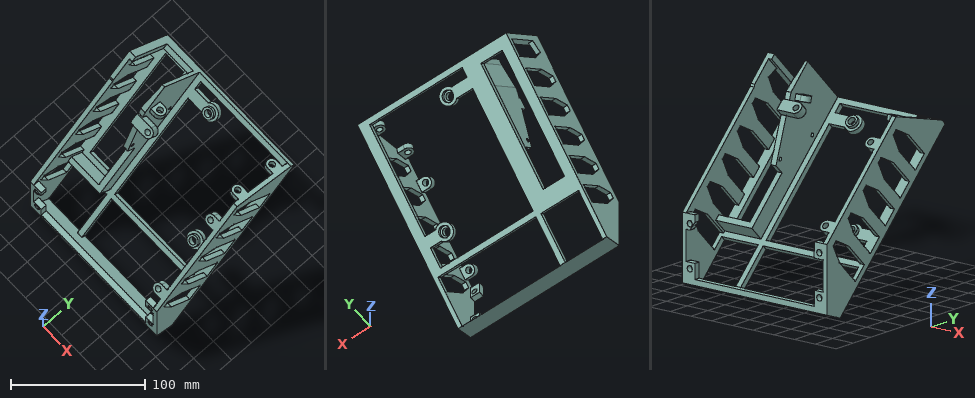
import cadquery as cq
import math


overall_width = 139.9
overall_height = 162.6
tilt = 45.0
bar = 5.0
plate = 4.0
wall_height = 55.0
plate_height = 54.0
length = overall_height / math.sin(math.radians(tilt)) - wall_height
right_inner = overall_width - plate

front_y = -15.6
front_back_y = front_y + bar
bevel_angle = 20.0
bevel_top = -front_y * math.tan(math.radians(bevel_angle))
plate_top_z = plate_height / math.cos(math.radians(tilt)) + front_y * math.tan(math.radians(tilt))
tab_hole_inset = 7.5
tab_hole_diameter = 4.9
tab_hole_z = 18.0
tab_pitch = 35.0
tab_width = 12.4
tab_margin = 5.0
notch_width = 4.7
notch_height = 6.8

window_count = 6
window_width = 15.0
window_start = 30.1
window_taper = 5.0
window_shoulder = 31.4
window_peak = 46.5
end_window_corner = 41.3
end_window_peak = 44.7
window_pitch = (length - bar - window_width - window_start) / (window_count - 1)

end_slope = 60.0
slope_top_y = length - (plate_height - bar) / math.tan(math.radians(end_slope))

wall_outer = 39.0
wall_inner = wall_outer - bar
wall_start = 47.0
low_wall_height = 20.0
wall_step_y = 97.0
wall_step_height = 30.0
wall_slope = 0.5
full_height_y = wall_step_y + (wall_height - wall_step_height) / wall_slope
plate_step_y = full_height_y - (wall_height - plate_height) / wall_slope
end_opening_left = 7.0
end_opening_right = 36.0
end_sill = 10.1
ramp_start = 149.6
wall_hole_diameter = 2.8
wall_holes = [(137.5, 10.0), (103.5, 29.1)]

lug_width = 10.0
lug_hole_diameter = 4.9
lug_reach = 6.0
edge_lug_thickness = 7.0
edge_lugs_y = [46.8, 121.8]
arm_y = 136.0
arm_hole_x = 49.6
end_lug_thickness = 5.0
end_lug_low = 10.1
end_lug_high = 46.2
wall_lug_reach = 5.0

boss_base_diameter = 15.0
boss_top_diameter = 10.0
boss_height = 8.0
boss_hole_diameter = 6.0
boss_recess_diameter = 9.5
boss_recess_depth = 3.0
bosses = [(64.4, 156.8, wall_outer), (115.0, 69.3, right_inner)]


def block(x_range, y_range, z_range):
    """A box spanning the given ranges."""
    starts = (x_range[0], y_range[0], z_range[0])
    sizes = (x_range[1] - x_range[0], y_range[1] - y_range[0], z_range[1] - z_range[0])
    return cq.Workplane().box(*sizes, centered=False).translate(starts)


def panel(points, x_start, thickness):
    """A Y-Z outline given thickness along X."""
    return cq.Workplane("YZ", origin=(x_start, 0, 0)).polyline(points).close().extrude(thickness)


def disc(x, y, diameter, bottom, top):
    """An upright cylinder."""
    return cq.Workplane(origin=(x, y, bottom)).circle(diameter / 2).extrude(top - bottom)


def flat_point(y, z):
    """Coordinates in the lying frame of a Y-Z point of the tilted frame."""
    cosine = math.cos(math.radians(tilt))
    sine = math.sin(math.radians(tilt))
    return (y * cosine + z * sine, z * cosine - y * sine)


def window(index):
    """Outline of one pointed side window; the one at the high end has a wider, skewed top."""
    near = window_start + index * window_pitch
    far = near + window_width
    if index == window_count - 1:
        top = [(far, end_window_corner), (near + window_taper, end_window_peak)]
    else:
        top = [
            (far, window_shoulder),
            (far - window_taper, window_peak),
            (near + window_taper, window_peak),
        ]
    return [(near, bar), (far, bar)] + top + [(near, window_shoulder)]


def side_plate(x_start, high_end, windows):
    """A side plate with an upright, bevelled low end and a row of windows."""
    low_end = [
        flat_point(front_y, plate_top_z),
        flat_point(front_y, bevel_top),
        (0, 0),
        (length, 0),
    ]
    body = panel(low_end + high_end, x_start, plate)
    for index in range(windows):
        body = body.cut(panel(window(index), x_start, plate))
    return body


def floor_bars():
    """Two cross bars and two lengthwise bars of the open floor."""
    full_width = (0, overall_width)
    base = (0, bar)
    low_bar = block(full_width, (wall_start - bar, wall_start), base)
    high_bar = block(full_width, (length - bar, length), base)
    middle_bar = block((wall_outer, wall_outer + bar), (0, length), base)
    right_bar = block((right_inner - bar, right_inner), (wall_start - bar, length), base)
    return low_bar.union(high_bar).union(middle_bar).union(right_bar)


def compartment():
    """Battery compartment: open floor, low end wall, inner wall and U-shaped high end wall."""
    across = (0, wall_outer)
    end_thickness = (length - bar, length)
    floor = block(across, (wall_start, length), (0, bar))
    floor_opening = block(
        (plate + bar, wall_inner - bar),
        (wall_start + 2 * bar, length - 2 * bar),
        (0, bar),
    )
    low_wall = block(across, (wall_start, wall_start + bar), (0, low_wall_height))
    inner_wall_outline = [
        (wall_start, 0),
        (length, 0),
        (length, wall_height),
        (full_height_y, wall_height),
        (wall_step_y, wall_step_height),
        (wall_step_y, low_wall_height),
        (wall_start, low_wall_height),
    ]
    inner_wall = panel(inner_wall_outline, wall_inner, bar)
    end_wall = block(across, end_thickness, (0, wall_height))
    end_opening = block((end_opening_left, end_opening_right), end_thickness, (end_sill, wall_height))

    ramp_outline = [
        (wall_inner, ramp_start),
        (end_opening_right, length - bar),
        (wall_inner, length - bar),
    ]
    ramp = cq.Workplane(origin=(0, 0, end_sill)).polyline(ramp_outline).close()
    ramp = ramp.extrude(wall_height - end_sill)

    body = floor.cut(floor_opening).union(low_wall).union(inner_wall).union(end_wall)
    body = body.cut(end_opening).cut(ramp)
    holes = cq.Workplane("YZ", origin=(wall_inner, 0, 0)).pushPoints(wall_holes)
    return body.cut(holes.circle(wall_hole_diameter / 2).extrude(bar))


def arm(root_x, tip_x, thickness):
    """A bar along X centred on Y = 0, from Z = 0 up."""
    ends = (min(root_x, tip_x), max(root_x, tip_x))
    return block(ends, (-lug_width / 2, lug_width / 2), (0, thickness))


def lug(root_x, hole_x, thickness):
    """A drilled arm with a rounded tip; its top face is at Z = 0."""
    body = arm(root_x, hole_x, thickness)
    body = body.union(disc(hole_x, 0, lug_width, 0, thickness))
    body = body.cut(disc(hole_x, 0, lug_hole_diameter, 0, thickness))
    return body.translate((0, 0, -thickness))


def edge_lugs():
    """Lugs level with the top edge of the right plate, and the arm on the inner wall."""
    body = lug(wall_inner, arm_hole_x, edge_lug_thickness).translate((0, arm_y, plate_height))
    for y in edge_lugs_y:
        edge_lug = lug(right_inner, right_inner - lug_reach, edge_lug_thickness)
        body = body.union(edge_lug.translate((0, y, plate_height)))
    return body


def end_lugs():
    """Three lugs lying in the plane of the right plate's sloping end."""
    right_lug = lug(right_inner, right_inner - lug_reach, end_lug_thickness)
    wall_lug = lug(wall_outer, wall_outer + wall_lug_reach, end_lug_thickness)
    body = right_lug.translate((0, -end_lug_low, 0))
    body = body.union(right_lug.union(wall_lug).translate((0, -end_lug_high, 0)))
    return body.rotate((0, 0, 0), (1, 0, 0), -end_slope).translate((0, length, bar))


def boss(x, y, root_x):
    """A stepped boss on a floor arm, drilled through and recessed from below."""
    body = arm(root_x, x, bar).translate((0, y, 0))
    body = body.union(disc(x, y, boss_base_diameter, 0, bar))
    body = body.union(disc(x, y, boss_top_diameter, 0, boss_height))
    body = body.cut(disc(x, y, boss_hole_diameter, 0, boss_height))
    return body.cut(disc(x, y, boss_recess_diameter, 0, boss_recess_depth))


def upright_front():
    """Bevelled bottom bar and four drilled corner tabs, one of them notched."""
    bar_top = -front_back_y
    bar_outline = [(front_y, bevel_top), (0, 0), (front_back_y, bar_top), (front_y, bar_top)]
    body = panel(bar_outline, 0, overall_width)

    depth = (front_y, front_back_y)
    upper_hole_z = tab_hole_z + tab_pitch
    upper_tab_bottom = upper_hole_z - tab_margin
    for x_range in ((0, tab_width), (overall_width - tab_width, overall_width)):
        body = body.union(block(x_range, depth, (bar_top, tab_hole_z + tab_margin)))
        body = body.union(block(x_range, depth, (upper_tab_bottom, plate_top_z)))

    notch_outline = [
        (tab_width, upper_tab_bottom),
        (tab_width, upper_tab_bottom + notch_height),
        (tab_width - notch_width, upper_tab_bottom),
    ]
    back_face = cq.Workplane("XZ", origin=(0, front_back_y, 0))
    body = body.cut(back_face.polyline(notch_outline).close().extrude(bar))

    hole_centers = [
        (x, z)
        for x in (tab_hole_inset, overall_width - tab_hole_inset)
        for z in (tab_hole_z, upper_hole_z)
    ]
    return body.cut(back_face.pushPoints(hole_centers).circle(tab_hole_diameter / 2).extrude(bar))


left_high_end = [
    (length, wall_height),
    (full_height_y, wall_height),
    (plate_step_y, plate_height),
]
right_high_end = [(length, bar), (slope_top_y, plate_height)]

frame = side_plate(0, left_high_end, window_count)
frame = frame.union(side_plate(right_inner, right_high_end, window_count - 1))
frame = frame.union(floor_bars()).union(compartment())
frame = frame.union(edge_lugs()).union(end_lugs())
for boss_x, boss_y, boss_root_x in bosses:
    frame = frame.union(boss(boss_x, boss_y, boss_root_x))

frame = frame.rotate((0, 0, 0), (1, 0, 0), tilt)
result = frame.union(upright_front())